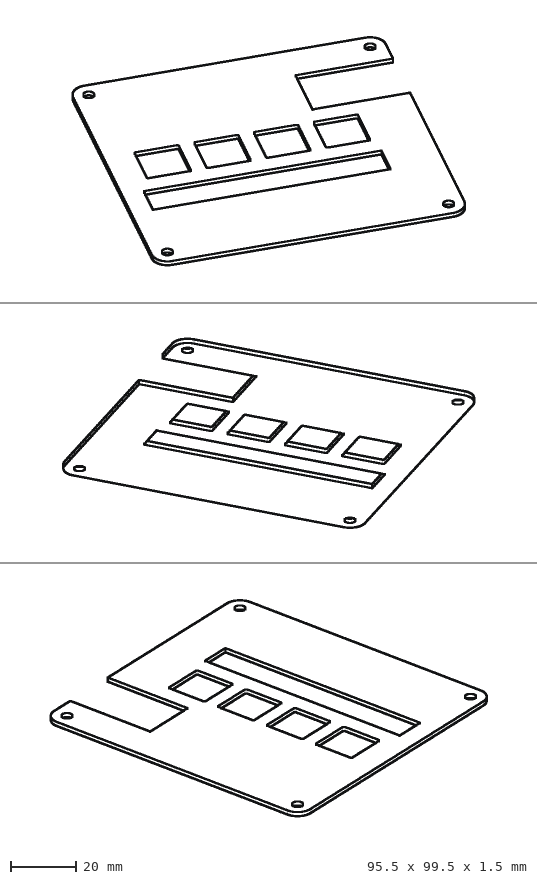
import cadquery as cq

plate_width = 95.5
plate_length = 99.5
thickness = 1.5
corner_radius = 5.0

hole_diameter = 3.4

notch_left = -34.8
notch_width = 18.5
notch_depth = 31.0

window_count = 4
window_size = 14.0
window_corner_radius = 0.5
window_pitch = 19.0
window_column_x = -2.9
window_column_y = -4.4

slot_width = 10.0
slot_length = 75.6
slot_x = 15.3
slot_y = -5.0


def box_cutter(width, length, x, y):
    """Block through the full thickness, centred on (x, y)."""
    return (
        cq.Workplane("XY")
        .center(x, y)
        .rect(width, length)
        .extrude(thickness)
    )


plate = box_cutter(plate_width, plate_length, 0, 0).edges("|Z").fillet(corner_radius)

hole_spacing_x = plate_width - 2 * corner_radius
hole_spacing_y = plate_length - 2 * corner_radius
holes = (
    cq.Workplane("XY")
    .rect(hole_spacing_x, hole_spacing_y, forConstruction=True)
    .vertices()
    .circle(hole_diameter / 2)
    .extrude(thickness)
)
plate = plate.cut(holes)

notch_x = notch_left + notch_width / 2
notch_y = (plate_length - notch_depth) / 2
plate = plate.cut(box_cutter(notch_width, notch_depth, notch_x, notch_y))

for index in range(window_count):
    window_y = window_column_y + (index - (window_count - 1) / 2) * window_pitch
    window = box_cutter(window_size, window_size, window_column_x, window_y)
    plate = plate.cut(window.edges("|Z").fillet(window_corner_radius))

plate = plate.cut(box_cutter(slot_width, slot_length, slot_x, slot_y))

result = plate